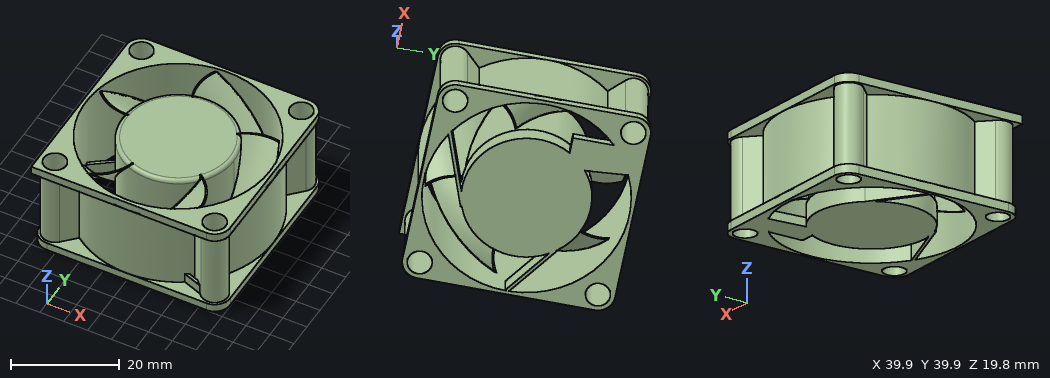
import cadquery as cq
import math

side = 39.88
height = 19.82
plate_thickness = 1.8
corner_radius = 3.25
hole_offset = side / 2 - corner_radius
hole_diameter = 4.6
post_radius = 2.7
bore_radius = 38.5 / 2
barrel_radius = side / 2

strut_height = 3.85
strut_width = 0.65
left_strut_direction = 216.0
left_strut_offset = 11.4
left_strut_length = 15.55
front_strut_direction = -19.9
front_strut_offset = 11.95
front_strut_length = 20.35
cable_strut_left = 8.35
cable_strut_root_left = 7.18
cable_strut_right = 13.55
base_radius = 12.05

blade_count = 5
hub_radius = 11.6
hub_fillet = 0.8
hub_top = 19.7
blade_bottom = 5.6
blade_root_radius = hub_radius - hub_fillet
blade_mid_radius = 14.5
blade_tip_radius = 18.62
blade_root_angle = 177.0
blade_mid_angle = 175.8
blade_tip_angle = 169.0
blade_twist = 53.8
blade_thickness_angle = 1.2


def polar(radius, angle):
    return radius * math.cos(math.radians(angle)), radius * math.sin(math.radians(angle))


def cylinder(radius, bottom, top):
    return cq.Workplane("XY").workplane(offset=bottom).circle(radius).extrude(top - bottom)


def make_plate(bottom, corners):
    """Square flange plate with the selected vertical edges rounded."""
    plate = cq.Workplane("XY").workplane(offset=bottom).rect(side, side).extrude(plate_thickness)
    return plate.edges(corners).fillet(corner_radius)


def make_corner_posts():
    """Round posts about the mounting holes, each tied to the barrel by a web as wide as the post."""
    posts = cq.Workplane("XY").rect(2 * hole_offset, 2 * hole_offset, forConstruction=True)
    posts = posts.vertices().circle(post_radius).extrude(height)
    diagonal = 2 * math.sqrt(2) * hole_offset
    for angle in (45, 135):
        web = cq.Workplane("XY").transformed(rotate=(0, 0, angle))
        posts = posts.union(web.rect(diagonal, 2 * post_radius).extrude(height))
    return posts


def make_strut(direction, offset, length):
    """Straight bar running past the axis at a distance, from its nearest point outwards."""
    plane = cq.Workplane("XY").transformed(rotate=(0, 0, direction))
    bar = plane.center(length / 2, -offset).rect(length, strut_width)
    return bar.extrude(strut_height)


def make_cable_strut():
    """Wide flat bar, level with the lower plate, that joins the stator base to the barrel."""
    root_y = base_radius / 2
    outline = [
        (cable_strut_root_left, root_y),
        (cable_strut_right, root_y),
        (cable_strut_right, barrel_radius),
        (cable_strut_left, barrel_radius),
    ]
    bar = cq.Workplane("XY").polyline(outline).close().extrude(plate_thickness)
    return bar.intersect(cylinder(barrel_radius, 0, plate_thickness))


def make_housing():
    body = cylinder(barrel_radius, 0, height).union(make_corner_posts())
    body = body.union(make_plate(0, "|Z"))
    body = body.union(make_plate(height - plate_thickness, "(|Z and >X) or (|Z and >Y)"))
    body = body.cut(cylinder(bore_radius, 0, height))
    body = body.union(cylinder(base_radius, 0, strut_height))
    body = body.union(make_strut(left_strut_direction, left_strut_offset, left_strut_length))
    body = body.union(make_strut(front_strut_direction, front_strut_offset, front_strut_length))
    body = body.union(make_cable_strut())
    holes = cq.Workplane("XY").rect(2 * hole_offset, 2 * hole_offset, forConstruction=True)
    return body.cut(holes.vertices().circle(hole_diameter / 2).extrude(height))


def make_blade(turn):
    """Thin curved section twisted upwards into a helical blade."""
    def section_point(radius, angle, shift):
        return polar(radius, angle + turn - blade_twist - shift)

    back = blade_thickness_angle
    section = (
        cq.Workplane("XY").workplane(offset=blade_bottom)
        .moveTo(*section_point(blade_root_radius, blade_root_angle, 0))
        .threePointArc(
            section_point(blade_mid_radius, blade_mid_angle, 0),
            section_point(blade_tip_radius, blade_tip_angle, 0),
        )
        .lineTo(*section_point(blade_tip_radius, blade_tip_angle, back))
        .threePointArc(
            section_point(blade_mid_radius, blade_mid_angle, back),
            section_point(blade_root_radius, blade_root_angle, back),
        )
        .close()
    )
    return section.twistExtrude(hub_top - blade_bottom, blade_twist)


def make_impeller():
    impeller = cylinder(hub_radius, strut_height, hub_top).faces(">Z").edges().fillet(hub_fillet)
    for index in range(blade_count):
        impeller = impeller.union(make_blade(index * 360 / blade_count))
    return impeller


housing = make_housing()
impeller = make_impeller()

result = cq.Compound.makeCompound([housing.solids().val(), impeller.solids().val()])